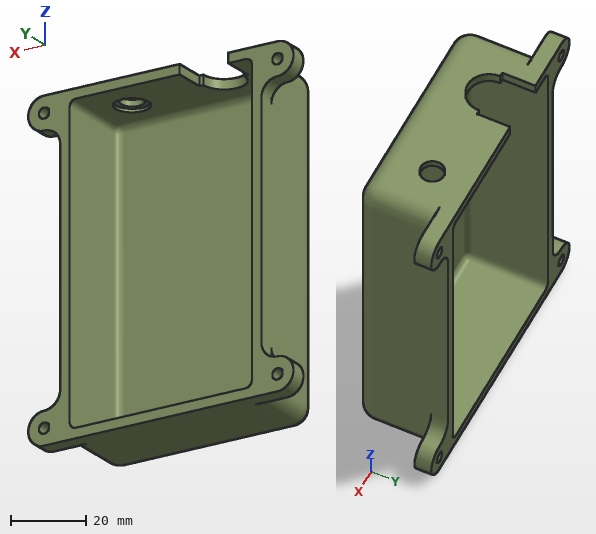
import cadquery as cq

height = 100.0
width = 63.0
depth = 27.0
edge_radius = 5.0
wall = 3.0

ear_radius = 5.0
ear_thickness = 5.0
ear_hole_diameter = 3.2
ear_x = width / 2 + ear_radius
ear_z = height / 2 - ear_radius

notch_x = -13.5
notch_width = 15.2
notch_depth = 9.8
notch_round_radius = 6.3
notch_round_depth = 10.0
cable_hole_x = 16.5
cable_hole_depth = 12.0
cable_hole_diameter = 6.8
cable_recess_diameter = 10.0
cable_recess_depth = 1.0


def rounded_block(block_width, block_depth, block_height, radius):
    """Block reaching forward from Y = 0, rounded everywhere but at the back rim."""
    block = cq.Workplane("XY").box(block_width, block_depth, block_height)
    block = block.translate((0, -block_depth / 2, 0))
    return block.edges("|Y or <Y").fillet(radius)


def ear_plate(x_side, z_side):
    """Ear with a round tip and a concave blend into the box side."""
    inner_x = width / 2 - edge_radius
    low_z = ear_z - ear_radius
    blend_z = low_z - ear_radius
    diagonal = ear_radius * 0.5**0.5

    def at(x, z):
        return (x_side * x, z_side * z)

    outline = (
        cq.Workplane("XZ")
        .moveTo(*at(inner_x, height / 2))
        .lineTo(*at(ear_x, height / 2))
        .threePointArc(at(ear_x + ear_radius, ear_z), at(ear_x, low_z))
        .threePointArc(at(ear_x - diagonal, blend_z + diagonal), at(width / 2, blend_z))
        .lineTo(*at(inner_x, blend_z))
        .close()
    )
    return outline.extrude(ear_thickness)


outer = rounded_block(width, depth, height, edge_radius)
cavity = rounded_block(width - 2 * wall, depth - wall, height - 2 * wall, edge_radius - wall)

result = outer
for x_side in (-1, 1):
    for z_side in (-1, 1):
        result = result.union(ear_plate(x_side, z_side))
result = result.cut(cavity)

ear_holes = (
    cq.Workplane("XZ")
    .rect(2 * ear_x, 2 * ear_z, forConstruction=True)
    .vertices()
    .circle(ear_hole_diameter / 2)
    .extrude(ear_thickness)
)
result = result.cut(ear_holes)

top_inside = cq.Workplane("XY").workplane(offset=height / 2 - wall)
notch_slot = top_inside.center(notch_x, -notch_depth / 2).rect(notch_width, notch_depth).extrude(wall)
notch_round = top_inside.center(notch_x, -notch_round_depth).circle(notch_round_radius).extrude(wall)
cable_center = top_inside.center(cable_hole_x, -cable_hole_depth)
cable_hole = cable_center.circle(cable_hole_diameter / 2).extrude(wall)
cable_recess = cable_center.circle(cable_recess_diameter / 2).extrude(cable_recess_depth)
for opening in (notch_slot, notch_round, cable_hole, cable_recess):
    result = result.cut(opening)